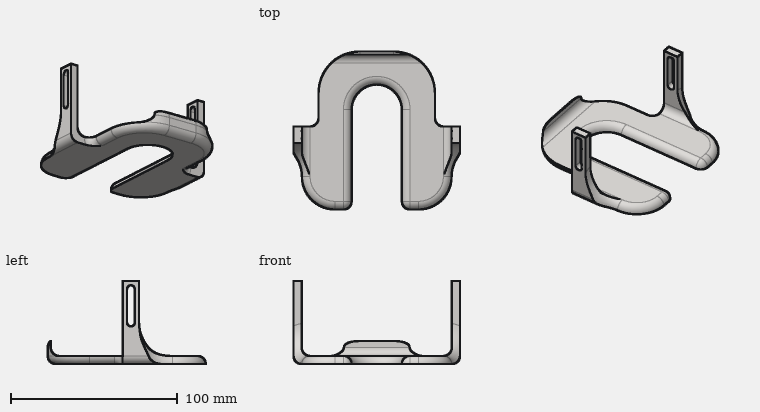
import cadquery as cq
import math

thickness = 5.0
edge_radius = 5.0
length = 95.0
front_half_width = 45.0
front_corner_radius = 20.0
leg_tip_radius = 5.0
rear_half_width = 35.0
rear_corner_radius = 25.0
shoulder_radius = 5.0

slot_half_width = 15.0
slot_arc_y = 60.0

arm_half_span = 50.0
arm_height = 50.0
arm_front_y = 40.0
arm_back_y = 50.0
bend_radius = 5.0
gusset_radius = 20.0
arm_slot_width = 4.5
arm_slot_length = 24.5
arm_slot_z = 35.0

lip_block_height = 15.0
lip_thickness = 2.0

arm_mid_y = (arm_front_y + arm_back_y) / 2
arm_foot_x = arm_half_span - thickness - bend_radius
gusset_start_y = arm_front_y - gusset_radius
lip_inner_y = length - lip_thickness
shoulder_end_y = arm_back_y + shoulder_radius
quarter_mid = math.sqrt(0.5)

frame_margin = 2.0
frame_half_width = slot_half_width + 2 * edge_radius
frame_back_y = slot_arc_y + slot_half_width + edge_radius + frame_margin

spare_depth = thickness


def box_between(low, high):
    """Axis-aligned box from its low corner to its high corner."""
    size = [b - a for a, b in zip(low, high)]
    return cq.Workplane("XY").box(*size, centered=False).translate(low)


def slot_tool(half_width):
    """Round-ended slot body, open at the front, deep and tall enough to cut anything."""
    return (
        cq.Workplane("XY")
        .moveTo(-half_width, 0)
        .lineTo(-half_width, slot_arc_y)
        .threePointArc((0, slot_arc_y + half_width), (half_width, slot_arc_y))
        .lineTo(half_width, 0)
        .close()
        .extrude(lip_block_height, both=True)
    )


def make_rear_block():
    """Rear of the plate with the upturned lip, rounded along its outline."""
    block = (
        box_between(
            (-rear_half_width, arm_front_y, 0),
            (rear_half_width, length, lip_block_height),
        )
        .edges("|Z and >Y")
        .fillet(rear_corner_radius)
        .faces("<Z or >Z")
        .edges("not <Y")
        .fillet(edge_radius)
    )
    space_over_plate = (
        box_between(
            (-arm_half_span, 0, thickness),
            (arm_half_span, lip_inner_y, thickness + lip_block_height),
        )
        .edges("|X and >Y and <Z")
        .fillet(bend_radius)
    )
    return block.cut(space_over_plate).cut(slot_tool(slot_half_width + edge_radius))


def make_left_leg():
    """Left front of the plate and slot frame, with rounded front, side and slot edges."""
    leg = box_between(
        (-front_half_width, 0, -spare_depth),
        (0, arm_back_y, thickness),
    )
    leg = leg.edges("|Z and <X and <Y").fillet(front_corner_radius)
    frame = box_between(
        (-frame_half_width, arm_front_y, -spare_depth),
        (0, frame_back_y, thickness),
    )
    leg = leg.union(frame).cut(slot_tool(slot_half_width))

    tip = cq.selectors.NearestToPointSelector((-slot_half_width, 0, 0))
    leg = leg.edges("|Z").edges(tip).fillet(leg_tip_radius)

    slot_edge = cq.selectors.NearestToPointSelector(
        (-slot_half_width, slot_arc_y / 2, thickness)
    )
    leg = leg.edges(slot_edge).fillet(edge_radius)
    below_plate = box_between(
        (-front_half_width, 0, -spare_depth),
        (0, frame_back_y, 0),
    )
    return leg.cut(below_plate)


def make_left_arm():
    """Arm on the -X side with its bend, curved gusset and long slot."""
    strip = (
        box_between(
            (-arm_half_span, gusset_start_y, 0),
            (-arm_foot_x, arm_back_y, arm_height),
        )
        .edges("|Y and <X and <Z")
        .fillet(bend_radius)
    )
    inner_space = (
        box_between(
            (-arm_half_span + thickness, gusset_start_y, thickness),
            (0, arm_back_y, arm_height),
        )
        .edges("|Y and <X and <Z")
        .fillet(bend_radius)
    )

    reach = 2 * arm_height
    arc_mid = (
        -edge_radius - gusset_radius * (1 - quarter_mid),
        gusset_start_y + gusset_radius * quarter_mid,
    )
    gusset_envelope = (
        cq.Workplane("XY")
        .moveTo(0, gusset_start_y)
        .lineTo(-edge_radius, gusset_start_y)
        .threePointArc(arc_mid, (-edge_radius - gusset_radius, arm_front_y))
        .lineTo(-reach, arm_front_y)
        .lineTo(-reach, arm_back_y)
        .lineTo(0, arm_back_y)
        .close()
        .revolve(360, (0, 0), (0, 1))
        .translate((-arm_foot_x, 0, thickness - edge_radius))
    )
    arm_slot = (
        cq.Workplane("YZ")
        .center(arm_mid_y, arm_slot_z)
        .slot2D(arm_slot_length, arm_slot_width, 90)
        .extrude(-arm_half_span)
    )
    return strip.cut(inner_space).intersect(gusset_envelope).cut(arm_slot)


def make_left_shoulder():
    """Concave fillet between the rounded rear side of the plate and the back of the arm."""
    axis_x = rear_half_width - edge_radius
    ring_radius = edge_radius + shoulder_radius
    arc_mid = (
        -ring_radius + shoulder_radius * quarter_mid,
        shoulder_end_y - shoulder_radius * quarter_mid,
    )
    ring = (
        cq.Workplane("XY")
        .moveTo(0, arm_back_y)
        .lineTo(-ring_radius, arm_back_y)
        .threePointArc(arc_mid, (-edge_radius, shoulder_end_y))
        .lineTo(0, shoulder_end_y)
        .close()
        .revolve(360, (0, 0), (0, 1))
        .translate((-axis_x, 0, edge_radius))
    )
    corner = box_between(
        (-axis_x - ring_radius, arm_back_y, 0),
        (-axis_x, shoulder_end_y, thickness),
    )
    return ring.intersect(corner)


left_side = make_left_leg().union(make_left_arm()).union(make_left_shoulder())
result = make_rear_block().union(left_side).union(left_side.mirror("YZ"))